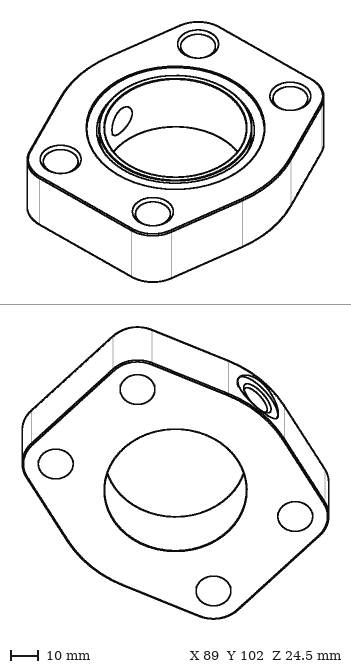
import cadquery as cq
import math

flange_thickness = 24.0
flange_length = 102.0
waist_diameter = 89.0
bore_diameter = 51.0
edge_chamfer = 0.5

edge_break = 0.2

bolt_spacing_x = 42.9
bolt_spacing_y = 77.8
bolt_hole_diameter = 12.5
bolt_hole_chamfer = 1.1

port_diameter = 11.45
port_chamfer = 1.0
spotface_diameter = 20.0
spotface_depth = 1.5

ring_outer_diameter = 63.8
ring_section_diameter = 3.53
ring_protrusion = 0.53
groove_inner_diameter = 55.0
groove_depth = ring_section_diameter - ring_protrusion

waist_radius = waist_diameter / 2
corner_x = bolt_spacing_x / 2
corner_y = bolt_spacing_y / 2
half_length = flange_length / 2
corner_radius = half_length - corner_y

corner_distance = math.hypot(corner_x, corner_y)
corner_direction = math.atan2(corner_y, corner_x)
side_normal = corner_direction - math.acos((waist_radius - corner_radius) / corner_distance)
corner_mid = (side_normal + math.pi / 2) / 2


def waist_point(angle):
    return (waist_radius * math.cos(angle), waist_radius * math.sin(angle))


def corner_point(angle, side_x, side_y):
    """Point on a rounded corner; side_x and side_y (+1 or -1) choose which corner."""
    x = corner_x + corner_radius * math.cos(angle)
    y = corner_y + corner_radius * math.sin(angle)
    return (side_x * x, side_y * y)


def flange_outline():
    top = math.pi / 2
    return (
        cq.Workplane("XY")
        .moveTo(*waist_point(-side_normal))
        .threePointArc(waist_point(0), waist_point(side_normal))
        .lineTo(*corner_point(side_normal, 1, 1))
        .threePointArc(corner_point(corner_mid, 1, 1), corner_point(top, 1, 1))
        .lineTo(*corner_point(top, -1, 1))
        .threePointArc(corner_point(corner_mid, -1, 1), corner_point(side_normal, -1, 1))
        .lineTo(*waist_point(math.pi - side_normal))
        .threePointArc(waist_point(math.pi), waist_point(math.pi + side_normal))
        .lineTo(*corner_point(side_normal, -1, -1))
        .threePointArc(corner_point(corner_mid, -1, -1), corner_point(top, -1, -1))
        .lineTo(*corner_point(top, 1, -1))
        .threePointArc(corner_point(corner_mid, 1, -1), corner_point(side_normal, 1, -1))
        .close()
    )


def bolt_hole(x, y):
    """Cutter for one through hole with a chamfered mouth in the top face."""
    hole_radius = bolt_hole_diameter / 2
    shank = cq.Workplane("XY").center(x, y).circle(hole_radius).extrude(flange_thickness)
    mouth = (
        cq.Workplane("XY", origin=(x, y, flange_thickness - bolt_hole_chamfer))
        .circle(hole_radius)
        .workplane(offset=bolt_hole_chamfer)
        .circle(hole_radius + bolt_hole_chamfer)
        .loft()
    )
    return shank.union(mouth)


def revolve_about_z(profile):
    """Revolve a closed outline of (radius, z) points about the Z axis."""
    return cq.Workplane("XZ").polyline(profile).close().revolve(360, (0, 0, 0), (0, 1, 0))


def bore_cutter():
    """Main bore, its edges broken at both faces."""
    radius = bore_diameter / 2
    return revolve_about_z([
        (0, 0),
        (radius + edge_break, 0),
        (radius, edge_break),
        (radius, flange_thickness - edge_break),
        (radius + edge_break, flange_thickness),
        (0, flange_thickness),
    ])


def groove_cutter():
    """O-ring groove, both of its top edges broken."""
    inner_radius = groove_inner_diameter / 2
    outer_radius = ring_outer_diameter / 2
    floor_z = flange_thickness - groove_depth
    return revolve_about_z([
        (inner_radius, floor_z),
        (outer_radius, floor_z),
        (outer_radius, flange_thickness - edge_break),
        (outer_radius + edge_break, flange_thickness),
        (inner_radius - edge_break, flange_thickness),
        (inner_radius, flange_thickness - edge_break),
    ])


def port_cutter():
    """Spotface, chamfered mouth and port hole, revolved about an X axis at mid thickness."""
    face_x = -waist_radius + spotface_depth
    port_radius = port_diameter / 2
    return (
        cq.Workplane("XZ", origin=(0, 0, flange_thickness / 2))
        .moveTo(-waist_radius, 0)
        .lineTo(-waist_radius, spotface_diameter / 2)
        .lineTo(face_x, spotface_diameter / 2)
        .lineTo(face_x, port_radius + port_chamfer)
        .lineTo(face_x + port_chamfer, port_radius)
        .lineTo(0, port_radius)
        .lineTo(0, 0)
        .close()
        .revolve(360, (0, 0, 0), (1, 0, 0))
    )


def make_flange():
    body = flange_outline().extrude(flange_thickness)
    body = body.faces("<Z or >Z").edges().chamfer(edge_chamfer)
    body = body.cut(bore_cutter()).cut(groove_cutter()).cut(port_cutter())
    for x in (-corner_x, corner_x):
        for y in (-corner_y, corner_y):
            body = body.cut(bolt_hole(x, y))
    return body


def make_o_ring():
    section_radius = ring_section_diameter / 2
    center_radius = ring_outer_diameter / 2 - section_radius
    center_z = flange_thickness - groove_depth + section_radius
    return (
        cq.Workplane("XZ")
        .center(center_radius, center_z)
        .circle(section_radius)
        .revolve(360, (-center_radius, 0, 0), (-center_radius, 1, 0))
    )


flange = make_flange()
o_ring = make_o_ring()

result = cq.Compound.makeCompound([flange.val(), o_ring.val()])